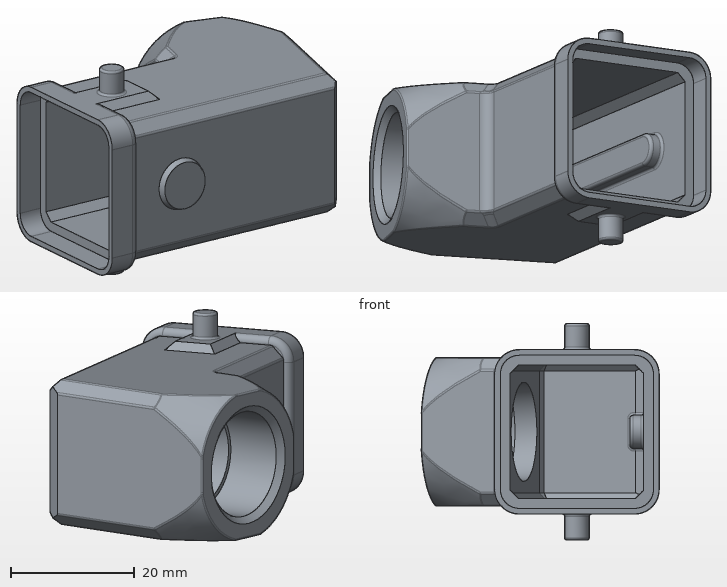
import cadquery as cq
import math

OVERALL_X = 38.45
OVERALL_Y = 54.6
OVERALL_Z = 35.0

COLLAR_SIZE = 26.6
COLLAR_LENGTH = 5.25
COLLAR_CORNER_RADIUS = 4.0
COLLAR_BACK_RADIUS = 1.2
RIM_WALL = 0.95
RIM_DEPTH = 4.0

BODY_WIDTH = 23.95
BODY_HALF = BODY_WIDTH / 2
BODY_START = 1.1
HEAD_TILT = 15.0
EDGE_CHAMFER = 2.0
EDGE_ROUND = 0.55
ELBOW_RADIUS = 2.0
CORNER_CUT_X = 2.25
CORNER_CUT_Y = 1.35

FACE_ROUND = 0.3
CONE_FACE_RADIUS = 12.35
CONE_DEPTH = 10.05
CONE_END_RADIUS = 15.6
CONE_CUTTER_RADIUS = 16.9
BORE_DIAMETER = 16.0
ENTRY_DIAMETER = 17.2
ENTRY_DEPTH = 10.35
MOUTH_CHAMFER = 1.05
HEAD_WALL_DEPTH = 14.05

WALL = 1.2
CAVITY_HALF = BODY_HALF - WALL
CAVITY_LONG_CHAMFER = 1.35
CAVITY_BACK_CHAMFER = 0.95
BACK_CORNER_X = 1.3
BACK_CORNER_Y = 0.65
HEAD_CORNER_ALONG_WALL = 1.2
HEAD_CORNER_ALONG_BACK = 0.5

PIN_DIAMETER = 4.0
PIN_Y = 9.35
PIN_ROUND = 0.4
PAD_BASE_WIDTH = 8.8
PAD_START = 1.35
PAD_END = 15.7
PAD_TAPER = 45.0

BUTTON_DIAMETER = 8.75
BUTTON_HEIGHT = 1.1
BUTTON_TAPER = 19.0
BUTTON_Y = 14.6
RIB_WIDTH = 5.35
RIB_HEIGHT = 2.25
RIB_TOP_ROUND = 0.55
RIB_BASE_ROUND = 0.45
RIB_END_Y = 14.0

TINY = 0.05
OVERSHOOT = 0.55

TILT = math.radians(HEAD_TILT)
ROUND_LOSS = FACE_ROUND * (math.cos(TILT) + math.sin(TILT) - 1)
FACE_X = COLLAR_SIZE / 2 - OVERALL_X + BODY_HALF * math.sin(TILT) - ROUND_LOSS
FACE_Y = OVERALL_Y - BODY_HALF * math.cos(TILT) + ROUND_LOSS


def head_point(depth, side):
    """XY point at a depth behind the head face and a sideways offset from the bore axis."""
    x = FACE_X + depth * math.cos(TILT) + side * math.sin(TILT)
    y = FACE_Y - depth * math.sin(TILT) + side * math.cos(TILT)
    return x, y


def point_at_x(x, side):
    """XY point with the given X on the line parallel to the bore axis at a sideways offset."""
    depth = (x - FACE_X - side * math.sin(TILT)) / math.cos(TILT)
    return head_point(depth, side)


def prism(points, half_height):
    """XY outline extruded equally above and below Z = 0."""
    return cq.Workplane("XY").polyline(points).close().extrude(half_height, both=True)


def revolve_on_bore_axis(profile):
    """Turn a (radius, depth) profile about the bore axis."""
    plane = cq.Plane(
        origin=(FACE_X, FACE_Y, 0),
        xDir=(math.sin(TILT), math.cos(TILT), 0),
        normal=(0, 0, 1),
    )
    local = [(radius, -depth) for radius, depth in profile]
    return cq.Workplane(plane).polyline(local).close().revolve(360, (0, 0, 0), (0, 1, 0))


def long_edges(body):
    """Outline edges of the top and bottom flats, without those on the two open ends."""
    edges = []
    for edge in body.faces("|Z").edges().vals():
        center = edge.Center()
        depth = (center.x - FACE_X) * math.cos(TILT) - (center.y - FACE_Y) * math.sin(TILT)
        if depth > TINY and center.y > BODY_START + TINY:
            edges.append(edge)
    return body.newObject(edges)


def side_edges(body):
    """Edges where the chamfers meet the upright walls, without those on the rim end."""
    edges = []
    for edge in body.edges().vals():
        center = edge.Center()
        on_chamfer = abs(abs(center.z) - (BODY_HALF - EDGE_CHAMFER)) < TINY
        if on_chamfer and center.y > BODY_START + TINY:
            edges.append(edge)
    return body.newObject(edges)


def elbow_edges(body, elbow):
    """Upright inner edge of the elbow and the two mitres where its chamfers meet."""
    reach = EDGE_CHAMFER + TINY
    box = cq.selectors.BoxSelector(
        (elbow[0] - TINY, elbow[1] - TINY, -BODY_WIDTH),
        (elbow[0] + reach, elbow[1] + reach, BODY_WIDTH),
    )
    return body.edges(box)


def trim_head(body):
    """Turn the square head into a cone toward its face and soften the resulting edges."""
    cone_slope = (CONE_END_RADIUS - CONE_FACE_RADIUS) / CONE_DEPTH
    cutter_depth = (CONE_CUTTER_RADIUS - CONE_FACE_RADIUS) / cone_slope
    cone_trim = [
        (CONE_FACE_RADIUS, 0),
        (CONE_CUTTER_RADIUS, 0),
        (CONE_CUTTER_RADIUS, cutter_depth),
    ]
    body = body.cut(revolve_on_bore_axis(cone_trim))
    body = body.edges("%HYPERBOLA").fillet(EDGE_ROUND)
    face = body.faces(cq.NearestToPointSelector((FACE_X, FACE_Y, 0)))
    return face.edges().fillet(FACE_ROUND)


def make_body():
    """Closed elbow: chamfered square tube with a tilted head."""
    elbow = point_at_x(-BODY_HALF, -BODY_HALF)
    corner = point_at_x(BODY_HALF, BODY_HALF)
    outline = [
        (-BODY_HALF, BODY_START),
        elbow,
        head_point(0, -BODY_HALF),
        head_point(0, BODY_HALF),
        corner,
        (BODY_HALF, BODY_START),
    ]
    body = prism(outline, BODY_HALF)
    body = long_edges(body).chamfer(EDGE_CHAMFER)
    body = side_edges(body).fillet(EDGE_ROUND)
    body = elbow_edges(body, elbow).fillet(ELBOW_RADIUS)
    body = long_edges(body).fillet(EDGE_ROUND)

    corner_cut = [
        corner,
        point_at_x(BODY_HALF - CORNER_CUT_X, BODY_HALF),
        (BODY_HALF, corner[1] - CORNER_CUT_Y),
    ]
    return trim_head(body.cut(prism(corner_cut, BODY_HALF)))


def make_collar():
    collar = cq.Workplane("XZ").rect(COLLAR_SIZE, COLLAR_SIZE).extrude(-COLLAR_LENGTH)
    collar = collar.edges("|Y").fillet(COLLAR_CORNER_RADIUS)
    return collar.faces(">Y").edges().fillet(COLLAR_BACK_RADIUS)


def make_rim_pocket():
    size = COLLAR_SIZE - 2 * RIM_WALL
    pocket = cq.Workplane("XZ").rect(size, size).extrude(-RIM_DEPTH)
    return pocket.edges("|Y").fillet(COLLAR_CORNER_RADIUS - RIM_WALL)


def make_pad_and_pin():
    pad_height = COLLAR_SIZE / 2 - BODY_HALF
    pad = (
        cq.Workplane("XY", origin=(0, (PAD_START + PAD_END) / 2, BODY_HALF))
        .rect(PAD_BASE_WIDTH, PAD_END - PAD_START)
        .extrude(pad_height, taper=PAD_TAPER)
    )
    pin = (
        cq.Workplane("XY", origin=(0, PIN_Y, BODY_HALF))
        .circle(PIN_DIAMETER / 2)
        .extrude(OVERALL_Z / 2 - BODY_HALF)
        .faces(">Z")
        .edges()
        .fillet(PIN_ROUND)
    )
    joined = pad.union(pin)
    foot = cq.NearestToPointSelector((0, PIN_Y + PIN_DIAMETER / 2, COLLAR_SIZE / 2))
    return joined.edges("%CIRCLE").edges(foot).fillet(PIN_ROUND)


def make_button():
    return (
        cq.Workplane("YZ", origin=(BODY_HALF, BUTTON_Y, 0))
        .circle(BUTTON_DIAMETER / 2)
        .extrude(BUTTON_HEIGHT, taper=BUTTON_TAPER)
    )


def is_sloping(edge):
    """True for an edge that runs along neither X nor Y."""
    run = edge.endPoint() - edge.startPoint()
    return abs(run.x) > TINY and abs(run.y) > TINY


def make_rib():
    """Rib with a half-round front end; it runs back past the end of the cavity."""
    half = RIB_WIDTH / 2
    back = OVERALL_Y - RIB_END_Y
    rib = (
        cq.Workplane("YZ", origin=(CAVITY_HALF, RIB_END_Y, 0))
        .moveTo(back, -half)
        .lineTo(0, -half)
        .threePointArc((-half, 0), (0, half))
        .lineTo(back, half)
        .close()
        .extrude(-RIB_HEIGHT)
    )
    top_rim = rib.faces("<X").edges("not >Y")
    return top_rim.fillet(RIB_TOP_ROUND)


def rib_foot_edges(cavity, corner_y):
    """Edges where the rib meets the +X wall and the back of the cavity."""
    z = RIB_WIDTH / 2 + TINY
    on_wall = cq.selectors.BoxSelector(
        (CAVITY_HALF - TINY, RIB_END_Y - RIB_WIDTH, -z),
        (CAVITY_HALF + TINY, OVERALL_Y, z),
    )
    on_back = cq.selectors.BoxSelector(
        (CAVITY_HALF - RIB_HEIGHT - TINY, corner_y - BACK_CORNER_Y, -z),
        (CAVITY_HALF - TINY, OVERALL_Y, z),
    )
    return cavity.edges(on_wall + on_back)


def make_cavity():
    """Hollow of the housing, less the rib that is left standing on its +X wall."""
    corner_y = point_at_x(CAVITY_HALF, CAVITY_HALF)[1]
    head_wall_foot = (-CAVITY_HALF - FACE_X - HEAD_WALL_DEPTH * math.cos(TILT)) / math.sin(TILT)
    outline = [
        (-CAVITY_HALF, 0),
        head_point(HEAD_WALL_DEPTH, head_wall_foot),
        head_point(HEAD_WALL_DEPTH, CAVITY_HALF - HEAD_CORNER_ALONG_WALL),
        head_point(HEAD_WALL_DEPTH + HEAD_CORNER_ALONG_BACK, CAVITY_HALF),
        point_at_x(CAVITY_HALF - BACK_CORNER_X, CAVITY_HALF),
        (CAVITY_HALF, corner_y - BACK_CORNER_Y),
        (CAVITY_HALF, 0),
    ]
    cavity = prism(outline, CAVITY_HALF)
    cavity = cavity.faces("|Z").edges("|Y").chamfer(CAVITY_LONG_CHAMFER)
    back_edges = [edge for edge in cavity.faces("|Z").edges().vals() if is_sloping(edge)]
    cavity = cavity.newObject(back_edges).chamfer(CAVITY_BACK_CHAMFER)
    cavity = cavity.cut(make_rib())
    return rib_foot_edges(cavity, corner_y).fillet(RIB_BASE_ROUND)


def make_bore():
    entry = ENTRY_DIAMETER / 2
    bore = BORE_DIAMETER / 2
    profile = [
        (0, 0),
        (entry + MOUTH_CHAMFER, 0),
        (entry, MOUTH_CHAMFER),
        (entry, ENTRY_DEPTH),
        (bore, ENTRY_DEPTH),
        (bore, HEAD_WALL_DEPTH + OVERSHOOT),
        (0, HEAD_WALL_DEPTH + OVERSHOOT),
    ]
    return revolve_on_bore_axis(profile)


pad_and_pin = make_pad_and_pin()
result = make_body().union(make_collar()).union(make_button())
result = result.union(pad_and_pin).union(pad_and_pin.mirror("XY"))
result = result.cut(make_cavity()).cut(make_rim_pocket()).cut(make_bore())